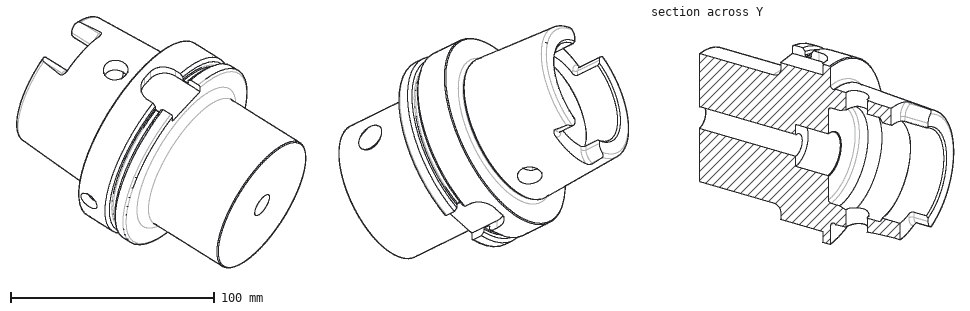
import cadquery as cq
import math


taper_length = 50.0
taper_nose_radius = 35.5
taper_base_radius = 38.0
taper_base_x = -2.8
nose_round = 1.8
neck_radius = 37.5
neck_x = -2.0
neck_fillet = 1.6

flange_radius = 50.0
flange_length = 29.0
flange_front_chamfer = 0.5
flange_rear_round = 1.1
groove_center_x = 19.9
groove_width = 3.4
groove_floor_radius = 46.0
groove_floor_fillet = 0.5
groove_chamfer_width = 1.5
groove_chamfer_depth = 1.6

shank_radius = 36.0
shank_end_x = 125.9 - taper_length
shank_chamfer = 0.5
shank_fillet = 4.0

bore_radius = 26.6
mouth_chamfer = 1.0
undercut_radius = 29.0
undercut_start_depth = 20.3
undercut_end_x = -11.8
undercut_front_angle = 60
undercut_rear_angle = 20
bore_floor_x = 1.3
bore_floor_fillet = 1.5
counterbore_radius = 12.0
counterbore_chamfer = 0.4
counterbore_depth = 18.9
through_hole_diameter = 12.0

cross_hole_x = -14.9
cross_hole_diameter = 12.1

slot_half_width = 10.1
slot_top_depth = 15.0
slot_bottom_depth = 10.0
slot_floor_fillet = 1.8
slot_shoulder_z = 27.5
slot_shoulder_radius = 4.9

keyway_width = 22.3
keyway_start_x = 4.8
keyway_corner_radius = 8.8
keyway_floor_z = 44.0

chip_pocket_x = 6.8
chip_pocket_diameter = 10.0
chip_pocket_depth = 4.7

screw_x = shank_end_x - 19.6
screw_diameter = 14.1
screw_length = 12.6


def revolve_about_x(profile):
    """Turn a closed XY outline into a solid of revolution about X."""
    return profile.close().revolve(360, (0, 0, 0), (1, 0, 0))


def make_outer_body():
    nose_x = -taper_length
    taper_slope = (taper_base_radius - taper_nose_radius) / (taper_base_x - nose_x)
    round_end_radius = taper_nose_radius + taper_slope * nose_round
    groove_front_x = groove_center_x - groove_width / 2
    groove_rear_x = groove_center_x + groove_width / 2
    groove_edge_radius = flange_radius - groove_chamfer_depth
    profile = (
        cq.Workplane("XY")
        .moveTo(nose_x, 0)
        .lineTo(nose_x, round_end_radius - nose_round)
        .radiusArc((nose_x + nose_round, round_end_radius), nose_round)
        .lineTo(taper_base_x, taper_base_radius)
        .lineTo(neck_x, neck_radius)
        .lineTo(-neck_fillet, neck_radius)
        .radiusArc((0, neck_radius + neck_fillet), -neck_fillet)
        .lineTo(0, flange_radius - flange_front_chamfer)
        .lineTo(flange_front_chamfer, flange_radius)
        .lineTo(groove_front_x - groove_chamfer_width, flange_radius)
        .lineTo(groove_front_x, groove_edge_radius)
        .lineTo(groove_front_x, groove_floor_radius + groove_floor_fillet)
        .radiusArc((groove_front_x + groove_floor_fillet, groove_floor_radius), -groove_floor_fillet)
        .lineTo(groove_rear_x - groove_floor_fillet, groove_floor_radius)
        .radiusArc((groove_rear_x, groove_floor_radius + groove_floor_fillet), -groove_floor_fillet)
        .lineTo(groove_rear_x, groove_edge_radius)
        .lineTo(groove_rear_x + groove_chamfer_width, flange_radius)
        .lineTo(flange_length - flange_rear_round, flange_radius)
        .radiusArc((flange_length, flange_radius - flange_rear_round), flange_rear_round)
        .lineTo(flange_length, shank_radius + shank_fillet)
        .radiusArc((flange_length + shank_fillet, shank_radius), -shank_fillet)
        .lineTo(shank_end_x - shank_chamfer, shank_radius)
        .lineTo(shank_end_x, shank_radius - shank_chamfer)
        .lineTo(shank_end_x, 0)
    )
    return revolve_about_x(profile)


def make_bore():
    nose_x = -taper_length
    undercut_x = nose_x + undercut_start_depth
    undercut_depth = undercut_radius - bore_radius
    front_cone_length = undercut_depth / math.tan(math.radians(undercut_front_angle))
    rear_cone_length = undercut_depth / math.tan(math.radians(undercut_rear_angle))
    profile = (
        cq.Workplane("XY")
        .moveTo(nose_x, 0)
        .lineTo(nose_x, bore_radius + mouth_chamfer)
        .lineTo(nose_x + mouth_chamfer, bore_radius)
        .lineTo(undercut_x, bore_radius)
        .lineTo(undercut_x + front_cone_length, undercut_radius)
        .lineTo(undercut_end_x, undercut_radius)
        .lineTo(undercut_end_x + rear_cone_length, bore_radius)
        .lineTo(bore_floor_x - bore_floor_fillet, bore_radius)
        .radiusArc((bore_floor_x, bore_radius - bore_floor_fillet), bore_floor_fillet)
        .lineTo(bore_floor_x, counterbore_radius)
        .lineTo(bore_floor_x + counterbore_chamfer, counterbore_radius - counterbore_chamfer)
        .lineTo(bore_floor_x + counterbore_depth, counterbore_radius - counterbore_chamfer)
        .lineTo(bore_floor_x + counterbore_depth, through_hole_diameter / 2)
        .lineTo(shank_end_x, through_hole_diameter / 2)
        .lineTo(shank_end_x, 0)
    )
    return revolve_about_x(profile)


def make_drive_slot(depth):
    """Cutter for the +Z drive slot: its mouth flares out over rounded shoulders."""
    reach = taper_base_radius
    shoulder_top_z = slot_shoulder_z + slot_shoulder_radius
    shoulder_y = slot_half_width + slot_shoulder_radius
    outline = (
        cq.Workplane("YZ", origin=(-taper_length, 0, 0))
        .moveTo(-slot_half_width, 0)
        .lineTo(slot_half_width, 0)
        .lineTo(slot_half_width, slot_shoulder_z)
        .radiusArc((shoulder_y, shoulder_top_z), slot_shoulder_radius)
        .lineTo(reach, shoulder_top_z)
        .lineTo(reach, reach)
        .lineTo(-reach, reach)
        .lineTo(-reach, shoulder_top_z)
        .lineTo(-shoulder_y, shoulder_top_z)
        .radiusArc((-slot_half_width, slot_shoulder_z), slot_shoulder_radius)
        .close()
    )
    return outline.extrude(depth).faces(">X").edges().fillet(slot_floor_fillet)


def make_cross_hole():
    return (
        cq.Workplane("XY", origin=(cross_hole_x, 0, 0))
        .circle(cross_hole_diameter / 2)
        .extrude(flange_radius, both=True)
    )


def make_keyway():
    """Cutter for the +Z keyway: flat floor, rounded inner corners, open at the flange's rear face."""
    keyway_length = 2 * (flange_length - keyway_start_x)
    return (
        cq.Workplane("XY", origin=(flange_length, 0, keyway_floor_z))
        .rect(keyway_length, keyway_width)
        .extrude(flange_radius)
        .edges("<X and |Z")
        .fillet(keyway_corner_radius)
    )


def make_chip_pocket():
    return (
        cq.Workplane("XZ", origin=(chip_pocket_x, chip_pocket_depth - flange_radius, 0))
        .circle(chip_pocket_diameter / 2)
        .extrude(flange_radius)
    )


def make_screw():
    return (
        cq.Workplane("XZ", origin=(screw_x, shank_radius, 0))
        .circle(screw_diameter / 2)
        .extrude(screw_length)
    )


def turned_over(cutter):
    return cutter.rotate((0, 0, 0), (1, 0, 0), 180)


def make_holder():
    return (
        make_outer_body()
        .cut(make_drive_slot(slot_top_depth))
        .cut(turned_over(make_drive_slot(slot_bottom_depth)))
        .cut(make_bore())
        .cut(make_cross_hole())
        .cut(make_keyway())
        .cut(turned_over(make_keyway()))
        .cut(make_chip_pocket())
        .cut(make_screw())
    )


holder = make_holder()
screw = make_screw()
result = cq.Compound.makeCompound([holder.val(), screw.val()])